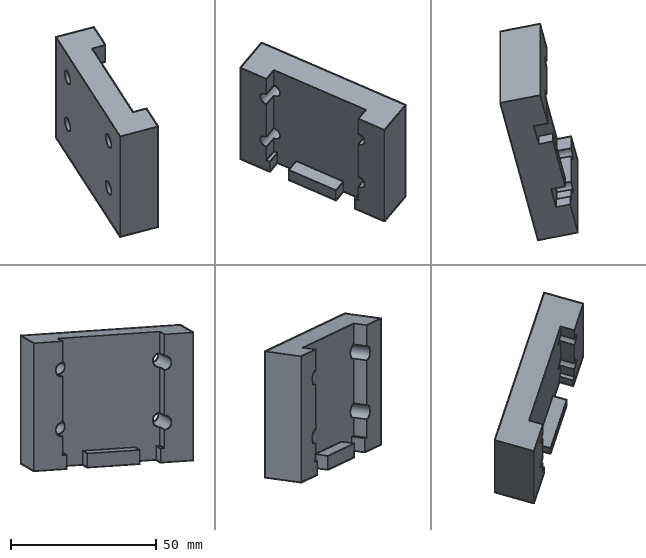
import cadquery as cq

width = 58.0
thickness = 14.15
height = 45.0

hole_diameter = 5.0
hole_spacing_x = 37.0
lower_hole_z = 14.0
upper_hole_z = 35.0

recess_depth = 5.0
recess_width = hole_spacing_x

rim_height = 5.0
slot_outer_span = 34.2
centre_block_width = 19.0

recess_floor_y = thickness - recess_depth


def back_cut(cut_width, bottom_z):
    """Centred block to remove from the back face, from bottom_z up to the top."""
    return (
        cq.Workplane("XY")
        .box(cut_width, recess_depth, height - bottom_z, centered=(True, False, False))
        .translate((0, recess_floor_y, bottom_z))
    )


plate = cq.Workplane("XY").box(width, thickness, height, centered=(True, False, False))

body = plate.cut(back_cut(recess_width, rim_height))

centre_block = (
    cq.Workplane("XY")
    .box(centre_block_width, recess_depth, rim_height, centered=(True, False, False))
    .translate((0, recess_floor_y, 0))
)
body = body.cut(back_cut(slot_outer_span, 0).cut(centre_block))

for x in (-hole_spacing_x / 2, hole_spacing_x / 2):
    for z in (lower_hole_z, upper_hole_z):
        hole = (
            cq.Workplane("XZ")
            .center(x, z)
            .circle(hole_diameter / 2)
            .extrude(-thickness)
        )
        body = body.cut(hole)

result = body